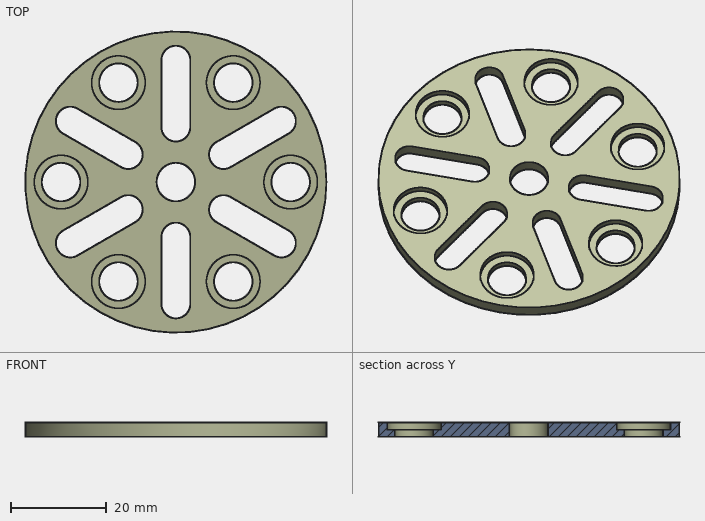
import cadquery as cq

disc_diameter = 63.0
thickness = 3.0
center_hole_diameter = 8.0

repeat_count = 6
step_angle = 360 / repeat_count

bolt_circle_radius = 24.0
hole_diameter = 8.0
counterbore_diameter = 11.2
counterbore_depth = 1.5

slot_inner_radius = 8.5
slot_outer_radius = 28.5
slot_width = 6.0
slot_length = slot_outer_radius - slot_inner_radius
slot_center_radius = (slot_inner_radius + slot_outer_radius) / 2


def make_disc():
    """Flat disc with its bottom face at Z = 0 and a plain center hole."""
    disc = cq.Workplane("XY").circle(disc_diameter / 2).extrude(thickness)
    return disc.faces(">Z").workplane().hole(center_hole_diameter)


def cut_counterbored_holes(body):
    """Ring of through holes, counterbored from the top face."""
    return (
        body.faces(">Z")
        .workplane(origin=(0, 0, thickness))
        .polarArray(bolt_circle_radius, 0, 360, repeat_count)
        .cboreHole(hole_diameter, counterbore_diameter, counterbore_depth)
    )


def cut_radial_slots(body):
    """Ring of round-ended through slots pointing at the disc center."""
    slots = (
        cq.Workplane("XY")
        .polarArray(slot_center_radius, step_angle / 2, 360, repeat_count)
        .slot2D(slot_length, slot_width)
        .extrude(thickness)
    )
    return body.cut(slots)


result = cut_radial_slots(cut_counterbored_holes(make_disc()))